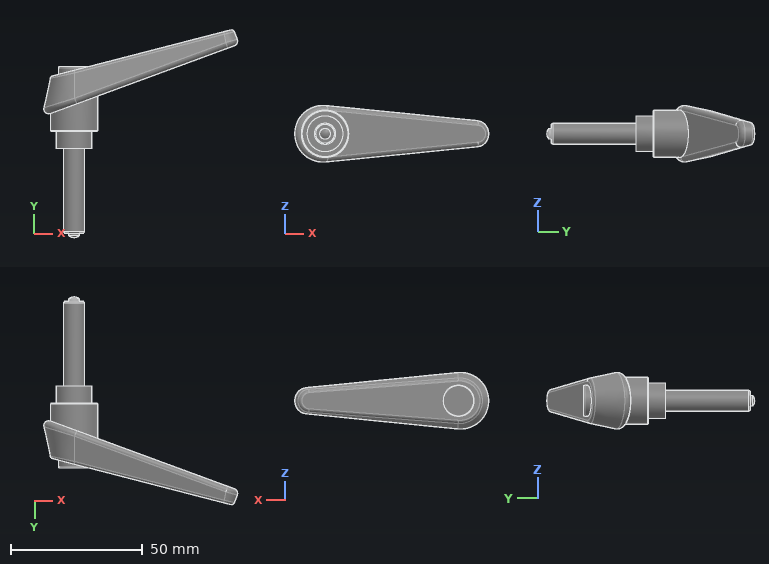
import cadquery as cq
import math


hub_radius = 9.0
hub_chamfer = 0.3
cap_radius = 5.9
cap_top = 24.6
cap_chamfer_height = 0.7
cap_chamfer_width = 0.15

lower_face_height = 10.0
lower_face_angle = 20.2
upper_face_height = 23.1
upper_face_angle = 14.5
lower_fillet = 1.9
upper_fillet = 1.25

base_hub_radius = 13.4
hub_draft = 0.216
base_tip_x = 63.4
tip_lean = 0.18
flank_taper = 0.02
blank_height = 47.3

collar_radius = 6.8
collar_length = 6.5
stud_radius = 4.0
stud_length = 32.15
stud_chamfer_length = 0.7
stud_chamfer_width = 0.5
nose_radius = 2.05
nose_length = 0.9
dome_height = 0.8


def lever_section(y):
    """Tangent outline around the hub and tip circles at height y."""
    hub_r = base_hub_radius - hub_draft * y
    tip_x = base_tip_x - tip_lean * y
    tip_r = hub_r - flank_taper * tip_x
    lean = (hub_r - tip_r) / tip_x
    rise = math.sqrt(1 - lean**2)
    hub_tangent = (hub_r * lean, hub_r * rise)
    tip_tangent = (tip_x + tip_r * lean, tip_r * rise)
    outline = (
        cq.Workplane(cq.Plane((0, y, 0), (1, 0, 0), (0, -1, 0)))
        .moveTo(*hub_tangent)
        .lineTo(*tip_tangent)
        .threePointArc((tip_x + tip_r, 0), (tip_tangent[0], -tip_tangent[1]))
        .lineTo(hub_tangent[0], -hub_tangent[1])
        .threePointArc((-hub_r, 0), hub_tangent)
        .close()
    )
    return outline.val()


def slab_between_faces():
    """Wedge between the lower and upper faces of the lever."""
    left = -2 * base_hub_radius
    right = 1.5 * base_tip_x

    def lower(x):
        return lower_face_height + x * math.tan(math.radians(lower_face_angle))

    def upper(x):
        return upper_face_height + x * math.tan(math.radians(upper_face_angle))

    corners = [(left, lower(left)), (right, lower(right)), (right, upper(right)), (left, upper(left))]
    return cq.Workplane("XY").polyline(corners).close().extrude(2 * base_hub_radius, both=True)


def face_direction(angle):
    """Unit vector square to a lever face of the given slope, on the +Y side."""
    slope = math.radians(angle)
    return cq.Vector(-math.sin(slope), math.cos(slope), 0)


def make_arm():
    blank = cq.Solid.makeLoft([lever_section(0), lever_section(blank_height)], True)
    arm = cq.Workplane(blank).intersect(slab_between_faces())
    arm = arm.faces(cq.DirectionMinMaxSelector(face_direction(lower_face_angle), False))
    arm = arm.edges().fillet(lower_fillet)
    arm = arm.faces(cq.DirectionMinMaxSelector(face_direction(upper_face_angle), True))
    return arm.edges().fillet(upper_fillet)


def make_lever():
    hub_top = (lower_face_height + upper_face_height) / 2
    hub_and_cap = (
        cq.Workplane("XY")
        .polyline([
            (0, 0),
            (hub_radius - hub_chamfer, 0),
            (hub_radius, hub_chamfer),
            (hub_radius, hub_top),
            (cap_radius, hub_top),
            (cap_radius, cap_top - cap_chamfer_height),
            (cap_radius - cap_chamfer_width, cap_top),
            (0, cap_top),
        ])
        .close()
        .revolve(360, (0, 0), (0, 1))
    )
    return make_arm().union(hub_and_cap)


def make_stud():
    stud_end = -collar_length - stud_length
    nose_end = stud_end - nose_length
    dome_sphere_radius = (nose_radius**2 + dome_height**2) / (2 * dome_height)
    mid_x = nose_radius / 2
    mid_drop = math.sqrt(dome_sphere_radius**2 - mid_x**2) - (dome_sphere_radius - dome_height)
    return (
        cq.Workplane("XY")
        .moveTo(0, 0)
        .lineTo(collar_radius, 0)
        .lineTo(collar_radius, -collar_length)
        .lineTo(stud_radius, -collar_length)
        .lineTo(stud_radius, stud_end + stud_chamfer_length)
        .lineTo(stud_radius - stud_chamfer_width, stud_end)
        .lineTo(nose_radius, stud_end)
        .lineTo(nose_radius, nose_end)
        .threePointArc((mid_x, nose_end - mid_drop), (0, nose_end - dome_height))
        .close()
        .revolve(360, (0, 0), (0, 1))
    )


lever = make_lever()
stud = make_stud()
result = cq.Compound.makeCompound([lever.val(), stud.val()])